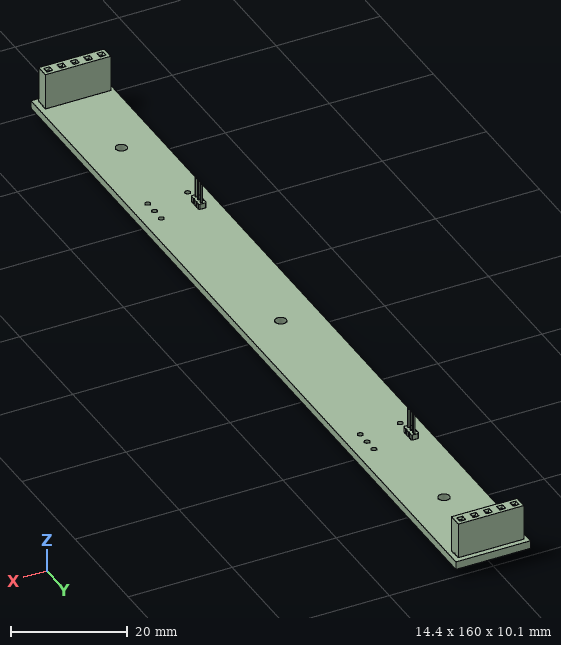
import cadquery as cq

GRID_PITCH = 2.5

BOARD_WIDTH = 14.4
BOARD_LENGTH = 160.0
BOARD_THICKNESS = 1.6
MOUNT_HOLE_DIAMETER = 2.0
MOUNT_HOLE_SPOTS = [(-0.08, 61.3), (0.0, 0.0), (0.0, -60.0)]

PIN_DROP = 1.5

SOCKET_COUNT = 5
SOCKET_LENGTH = 12.6
SOCKET_DEPTH = 2.5
SOCKET_HEIGHT = 7.0
BACK_SOCKET_X = 0.0
BACK_END_GAP = 0.8
FRONT_SOCKET_X = -0.2
FRONT_END_GAP = 0.88
STEP_HEIGHT = 0.13
FOOT_DEPTH = 1.04
MOUTH_WIDTH = 1.1
POCKET_WIDTH = 0.5
POCKET_DEPTH = 4.8
SOCKET_PIN_WIDTH = 0.6
SOCKET_PIN_THICKNESS = 0.24

HEADER_COUNT = 3
HEADER_PITCH = 1.0
HEADER_WIDTH = 1.5
HEADER_HEIGHT = 1.04
HEADER_BEVEL = 0.2
HEADER_PIN_WIDTH = 0.3
HEADER_PIN_RISE = 4.8
HEADER_X = -3.8
HEADER_CENTERS_Y = [41.6, -38.4]

SOLDER_HOLE_DIAMETER = 1.0
SOLDER_ROW_COUNT = 3
SOLDER_ROW_X = 3.8
SOLDER_ROW_OFFSET_Y = -1.6

BACK_SOCKET_Y = BOARD_LENGTH / 2 - BACK_END_GAP - SOCKET_DEPTH / 2
FRONT_SOCKET_Y = -BOARD_LENGTH / 2 + FRONT_END_GAP + SOCKET_DEPTH / 2
SOCKET_CENTERS = [(BACK_SOCKET_X, BACK_SOCKET_Y), (FRONT_SOCKET_X, FRONT_SOCKET_Y)]


def spread(count, pitch):
    """Evenly pitched positions centred on zero."""
    return [(i - (count - 1) / 2) * pitch for i in range(count)]


def socket_spots(center):
    center_x, center_y = center
    return [(center_x + x, center_y) for x in spread(SOCKET_COUNT, GRID_PITCH)]


def header_spots(center_y):
    return [(HEADER_X, center_y + y) for y in spread(HEADER_COUNT, HEADER_PITCH)]


def solder_spots(center_y):
    """The row of holes, then the single hole level with the row's -Y end."""
    row_y = center_y + SOLDER_ROW_OFFSET_Y
    row = [(SOLDER_ROW_X, row_y + y) for y in spread(SOLDER_ROW_COUNT, GRID_PITCH)]
    return row + [(HEADER_X, row[0][1])]


def posts(spots, size_x, size_y, bottom, top):
    """Upright rectangular bars at the given spots."""
    plane = cq.Workplane("XY", origin=(0, 0, bottom))
    return plane.pushPoints(spots).rect(size_x, size_y).extrude(top - bottom)


def hole_cutters(spots, diameter):
    """Cylinders as tall as the board at the given spots."""
    return cq.Workplane("XY").pushPoints(spots).circle(diameter / 2).extrude(BOARD_THICKNESS)


def socket_pins(center):
    top = BOARD_THICKNESS + STEP_HEIGHT
    return posts(socket_spots(center), SOCKET_PIN_WIDTH, SOCKET_PIN_THICKNESS, -PIN_DROP, top)


def header_pins(center_y):
    top = BOARD_THICKNESS + HEADER_PIN_RISE
    return posts(header_spots(center_y), HEADER_PIN_WIDTH, HEADER_PIN_WIDTH, -PIN_DROP, top)


def make_board():
    board = cq.Workplane("XY").rect(BOARD_WIDTH, BOARD_LENGTH).extrude(BOARD_THICKNESS)
    board = board.cut(hole_cutters(MOUNT_HOLE_SPOTS, MOUNT_HOLE_DIAMETER))
    for center_y in HEADER_CENTERS_Y:
        board = board.cut(hole_cutters(solder_spots(center_y), SOLDER_HOLE_DIAMETER))
        board = board.cut(header_pins(center_y))
    for center in SOCKET_CENTERS:
        board = board.cut(socket_pins(center))
    return board


def pocket_lead_in(spot, top):
    """Square funnel with 45 degree sides."""
    depth = (MOUTH_WIDTH - POCKET_WIDTH) / 2
    mouth = cq.Workplane("XY", origin=(*spot, top)).rect(MOUTH_WIDTH, MOUTH_WIDTH)
    return mouth.workplane(offset=-depth).rect(POCKET_WIDTH, POCKET_WIDTH).loft()


def make_socket(center):
    center_x, center_y = center
    spots = socket_spots(center)
    top = BOARD_THICKNESS + SOCKET_HEIGHT
    step_top = BOARD_THICKNESS + STEP_HEIGHT
    socket = posts([center], SOCKET_LENGTH, SOCKET_DEPTH, step_top, top)

    inward = -1 if center_y > 0 else 1
    foot_y = center_y + inward * (SOCKET_DEPTH - FOOT_DEPTH) / 2
    foot = posts([(center_x, foot_y)], SOCKET_LENGTH, FOOT_DEPTH, BOARD_THICKNESS, step_top)
    socket = socket.union(foot)

    socket = socket.cut(posts(spots, POCKET_WIDTH, POCKET_WIDTH, top - POCKET_DEPTH, top))
    for spot in spots:
        socket = socket.cut(pocket_lead_in(spot, top))
    return socket.union(socket_pins(center))


def make_header(center_y):
    top = BOARD_THICKNESS + HEADER_HEIGHT
    header = header_pins(center_y)
    for spot in header_spots(center_y):
        cell = posts([spot], HEADER_WIDTH, HEADER_PITCH, BOARD_THICKNESS, top)
        header = header.union(cell.edges("|Z").chamfer(HEADER_BEVEL))
    return header


board = make_board()
sockets = [make_socket(center) for center in SOCKET_CENTERS]
headers = [make_header(center_y) for center_y in HEADER_CENTERS_Y]

result = cq.Compound.makeCompound([board.val()] + [body.val() for body in sockets + headers])